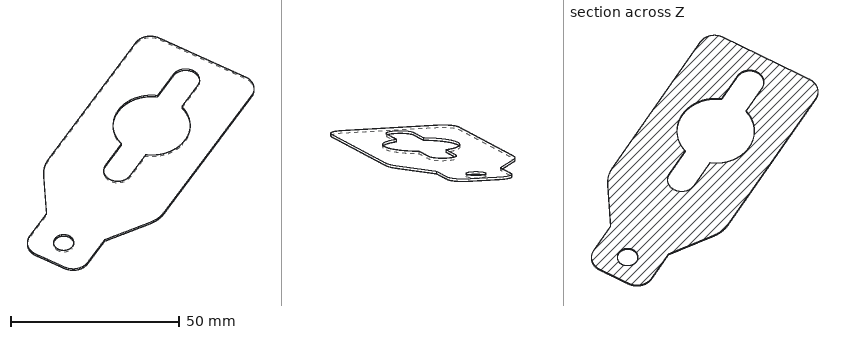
import cadquery as cq

length = 90.0
width = 40.0
thickness = 0.8
tab_width = width / 2
tab_length = 15.0
shoulder_height = 2 * tab_length
corner_radius = 5.0
shoulder_radius = 10.0

keyhole_height = 60.0
keyhole_diameter = 22.95
slot_width = 8.4
slot_length = 48.5
tab_hole_height = 8.0
tab_hole_diameter = 6.0


def make_plate():
    """Rectangular plate tapering to a narrow tab, with rounded outer corners."""
    plate = (
        cq.Workplane("XY")
        .moveTo(tab_width / 2, 0)
        .lineTo(tab_width / 2, tab_length)
        .lineTo(width / 2, shoulder_height)
        .lineTo(width / 2, length)
        .lineTo(-width / 2, length)
        .lineTo(-width / 2, shoulder_height)
        .lineTo(-tab_width / 2, tab_length)
        .lineTo(-tab_width / 2, 0)
        .close()
        .extrude(thickness)
    )
    plate = plate.edges("|Z and (<Y or >Y)").fillet(corner_radius)
    shoulders = [(side * width / 2, shoulder_height, thickness / 2) for side in (-1, 1)]
    for shoulder in shoulders:
        edge = cq.selectors.NearestToPointSelector(shoulder)
        plate = plate.edges("|Z").edges(edge).fillet(shoulder_radius)
    return plate


def make_keyhole():
    """Round opening with a round-ended slot running through its center."""
    center = cq.Workplane("XY").center(0, keyhole_height)
    opening = center.circle(keyhole_diameter / 2).extrude(thickness)
    slot = center.slot2D(slot_length, slot_width, 90).extrude(thickness)
    return opening.union(slot)


def make_tab_hole():
    return cq.Workplane("XY").center(0, tab_hole_height).circle(tab_hole_diameter / 2).extrude(thickness)


result = make_plate().cut(make_keyhole()).cut(make_tab_hole())

result = result.translate((0, -length / 2, -thickness / 2))